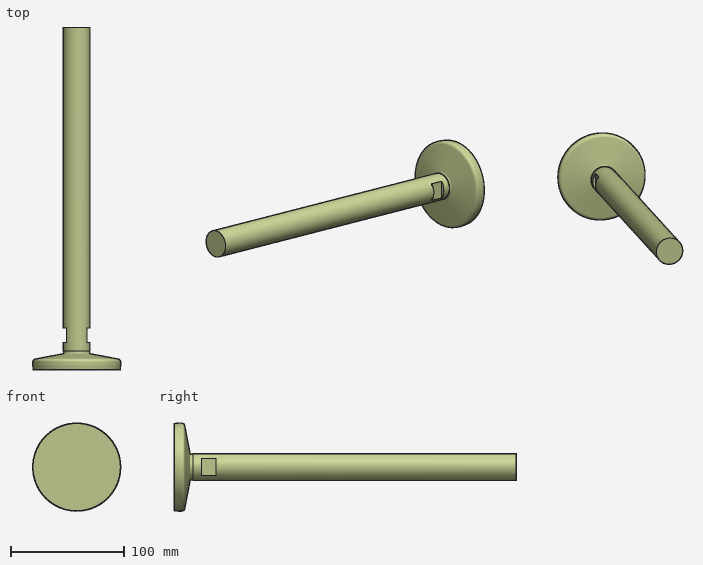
import cadquery as cq
import math

total_length = 302.0
disc_radius = 78.0 / 2
shaft_radius = 24.0 / 2

face_radius = disc_radius - 0.45
rim_start = 4.0
rim_end = 6.5
shoulder_fillet = 3.0

cone_angle = math.radians(10.8)
neck_radius = 11.5
neck_fillet = 1.0
shaft_start = 16.5

shoulder_radius = disc_radius - shoulder_fillet * (1 - math.sin(cone_angle))
shoulder_height = rim_end + shoulder_fillet * math.cos(cone_angle)
cone_top_radius = neck_radius + neck_fillet * (1 - math.sin(cone_angle))
cone_top_height = shoulder_height + (shoulder_radius - cone_top_radius) * math.tan(cone_angle)
neck_start = cone_top_height + neck_fillet * math.cos(cone_angle)

flats_start = 24.2
flats_length = 12.7
across_flats = 18.5


def make_body():
    """Revolve the radius-against-height outline about the Y axis."""
    outline = (
        cq.Workplane("XY")
        .moveTo(0, 0)
        .lineTo(face_radius, 0)
        .lineTo(disc_radius, rim_start)
        .lineTo(disc_radius, rim_end)
        .tangentArcPoint((shoulder_radius, shoulder_height), relative=False)
        .lineTo(cone_top_radius, cone_top_height)
        .tangentArcPoint((neck_radius, neck_start), relative=False)
        .lineTo(neck_radius, shaft_start)
        .lineTo(shaft_radius, shaft_start)
        .lineTo(shaft_radius, total_length)
        .lineTo(0, total_length)
        .close()
    )
    return outline.revolve(360, (0, 0), (0, 1))


def make_flat_cutter(side):
    """Block that removes the shaft outside one wrench flat; side is -1 or +1."""
    block_width = 2 * shaft_radius
    center_x = side * (across_flats + block_width) / 2
    center_y = flats_start + flats_length / 2
    block = cq.Workplane("XY").box(block_width, flats_length, block_width)
    return block.translate((center_x, center_y, 0))


result = make_body()
for side in (-1, 1):
    result = result.cut(make_flat_cutter(side))